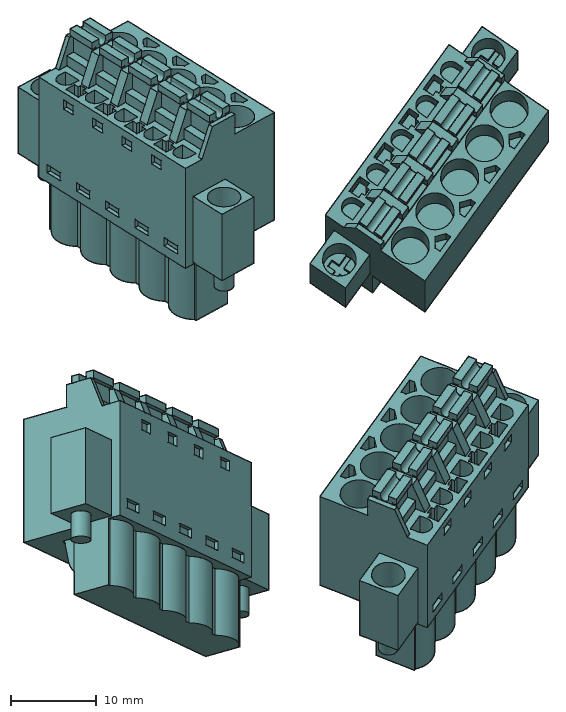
import cadquery as cq


pole_count = 5
overall_length = 34.8
housing_length = 25.0
housing_depth = 14.2
rear_height = 15.4
front_height = 14.35

tower_height = 18.25
tower_back = 7.9
tower_top_front = 4.3
tower_foot_front = 2.65

lever_width = 3.8
lever_top = 19.42
cap_bottom = 18.45
cap_back = 7.6
cap_front = 4.4
stem_back = 6.95
stem_front = 4.98
foot_front = 3.9
foot_height = 15.8
groove_width = 1.0
groove_depth = 1.08
groove_wall_depth = 0.5

wire_hole_diameter = 4.42
wire_hole_y = 10.35
wire_hole_depth = 5.22
slot_depth = 2.8
slot_width = 2.12
rear_slot_back = 13.57
rear_slot_shoulder = 12.9
rear_slot_tip = 12.08
test_hole_width = 2.33
test_hole_back = 2.95
test_hole_arc_y = 2.0
front_slot_front = 0.63
front_slot_back = 2.0
nub_width = 0.87
nub_back = 2.4

window_depth = 0.52
upper_window_width = 1.65
upper_window_bottom = 11.97
upper_window_top = 13.25
lower_window_width = 2.23
lower_window_bottom = 1.35
lower_window_top = 2.5

plug_length = 8.3
plug_back = 6.75
plug_front = 1.7
lobe_width = 4.45
lobe_bulge = 0.97

latch_width = 19.98

flange_front = 1.25
flange_back = 6.35
flange_bottom = 0.2
flange_top = 9.7
head_diameter = 3.9
head_top = 4.87
head_height = 2.1
shaft_diameter = 2.33
shaft_bottom = -2.95
screw_from_end = 2.35
driver_slot_width = 0.65
cross_slot_width = 0.87
cross_slot_length = 2.7
driver_slot_depth = 0.7

pitch = housing_length / pole_count
half_length = housing_length / 2
pole_xs = [(i - (pole_count - 1) / 2) * pitch for i in range(pole_count)]
between_xs = [x + pitch / 2 for x in pole_xs[:-1]]
flange_length = (overall_length - housing_length) / 2
flange_xs = [side * (half_length + flange_length / 2) for side in (-1, 1)]
screw_xs = [side * (overall_length / 2 - screw_from_end) for side in (-1, 1)]
screw_y = (flange_front + flange_back) / 2
head_bottom = head_top - head_height


def box(center_x, width, y_min, y_max, z_min, z_max):
    """Box centred on center_x in X and spanning the given Y and Z ranges."""
    solid = cq.Workplane("XY").box(width, y_max - y_min, z_max - z_min, centered=(True, False, False))
    return solid.translate((center_x, y_min, z_min))


def cylinder(center_x, center_y, diameter, z_min, z_max):
    """Upright cylinder."""
    plane = cq.Workplane("XY", origin=(center_x, center_y, z_min))
    return plane.circle(diameter / 2).extrude(z_max - z_min)


def side_profile(center_x, width):
    """Workplane whose local axes are Y and Z, at the -X end of an extrusion of this width."""
    return cq.Workplane("YZ", origin=(center_x - width / 2, 0, 0))


def housing_body():
    outline = [
        (0, 0),
        (housing_depth, 0),
        (housing_depth, rear_height),
        (tower_back, rear_height),
        (tower_back, tower_height),
        (tower_top_front, tower_height),
        (tower_foot_front, front_height),
        (0, front_height),
    ]
    return side_profile(0, housing_length).polyline(outline).close().extrude(housing_length)


def plug():
    """Bar below the housing with one shallow cylindrical lobe per pole on its front."""
    solid = box(0, housing_length, plug_front, plug_back, -plug_length, 0)
    for x in pole_xs:
        lobe = (
            cq.Workplane("XY", origin=(x, plug_front, -plug_length))
            .moveTo(-lobe_width / 2, 0)
            .threePointArc((0, -lobe_bulge), (lobe_width / 2, 0))
            .close()
            .extrude(plug_length)
        )
        solid = solid.union(lobe)
    return solid


def latch():
    """Curved hook hanging from the underside, its tip bent forward."""
    return (
        side_profile(0, latch_width)
        .moveTo(10.37, 0)
        .lineTo(10.05, -0.35)
        .lineTo(9.45, -2.95)
        .threePointArc((9.22, -3.55), (8.65, -4.2))
        .threePointArc((8.15, -4.07), (8.0, -3.27))
        .threePointArc((8.4, -2.9), (8.53, -2.4))
        .lineTo(8.53, -1.15)
        .lineTo(8.07, 0)
        .close()
        .extrude(latch_width)
    )


def lever_slot(x):
    """Space between two ribs of the tower, as deep in Y as the tower and open to the top."""
    return box(x, lever_width, 0, tower_back, front_height, lever_top)


def wire_hole(x):
    return cylinder(x, wire_hole_y, wire_hole_diameter, rear_height - wire_hole_depth, rear_height)


def test_hole(x):
    """D-shaped hole, flat at the back and round at the front."""
    radius = test_hole_width / 2
    return (
        cq.Workplane("XY", origin=(x, test_hole_arc_y, front_height - slot_depth))
        .moveTo(-radius, 0)
        .threePointArc((0, -radius), (radius, 0))
        .lineTo(radius, test_hole_back - test_hole_arc_y)
        .lineTo(-radius, test_hole_back - test_hole_arc_y)
        .close()
        .extrude(slot_depth)
    )


def rear_slot(x):
    """Five-sided slot that points to the front."""
    outline = [
        (-slot_width / 2, rear_slot_back),
        (slot_width / 2, rear_slot_back),
        (slot_width / 2, rear_slot_shoulder),
        (0, rear_slot_tip),
        (-slot_width / 2, rear_slot_shoulder),
    ]
    plane = cq.Workplane("XY", origin=(x, 0, rear_height - slot_depth))
    return plane.polyline(outline).close().extrude(slot_depth)


def front_slot(x):
    """Rectangular slot with a narrow nub at its back."""
    bottom = front_height - slot_depth
    main = box(x, slot_width, front_slot_front, front_slot_back, bottom, front_height)
    return main.union(box(x, nub_width, front_slot_back, nub_back, bottom, front_height))


def upper_window(x):
    return box(x, upper_window_width, 0, window_depth, upper_window_bottom, upper_window_top)


def lower_window(x):
    return box(x, lower_window_width, 0, window_depth, lower_window_bottom, lower_window_top)


def make_housing():
    solid = housing_body().union(plug()).union(latch())
    for x in flange_xs:
        solid = solid.union(box(x, flange_length, flange_front, flange_back, flange_bottom, flange_top))
    for x in screw_xs:
        solid = solid.cut(cylinder(x, screw_y, head_diameter, head_bottom, flange_top))
        solid = solid.cut(cylinder(x, screw_y, shaft_diameter, flange_bottom, head_bottom))
    for x in pole_xs:
        for opening in (lever_slot, wire_hole, test_hole, lower_window):
            solid = solid.cut(opening(x))
    for x in between_xs:
        for opening in (rear_slot, front_slot, upper_window):
            solid = solid.cut(opening(x))
    return solid


def make_lever(x):
    """Push lever: a wide foot and a narrow stem under a wider cap with a round-bottomed groove."""
    half_groove = groove_width / 2
    groove_y = (cap_front + cap_back) / 2
    groove_arc_z = lever_top - groove_wall_depth
    return (
        side_profile(x, lever_width)
        .moveTo(foot_front, front_height)
        .lineTo(tower_back, front_height)
        .lineTo(tower_back, foot_height)
        .lineTo(stem_back, foot_height)
        .lineTo(stem_back, cap_bottom)
        .lineTo(cap_back, cap_bottom)
        .lineTo(cap_back, lever_top)
        .lineTo(groove_y + half_groove, lever_top)
        .lineTo(groove_y + half_groove, groove_arc_z)
        .threePointArc((groove_y, lever_top - groove_depth), (groove_y - half_groove, groove_arc_z))
        .lineTo(groove_y - half_groove, lever_top)
        .lineTo(cap_front, lever_top)
        .lineTo(cap_front, cap_bottom)
        .lineTo(stem_front, cap_bottom)
        .lineTo(stem_front, foot_height)
        .lineTo(foot_front, foot_height)
        .close()
        .extrude(lever_width)
    )


def make_screw(x):
    """Flange screw with a straight slot across its head and a shorter, wider slot crossing it."""
    half_slot = driver_slot_width / 2
    half_cross = cross_slot_length / 2
    slot_bottom = head_top - driver_slot_depth
    head = cylinder(x, screw_y, head_diameter, head_bottom, head_top)
    shaft = cylinder(x, screw_y, shaft_diameter, shaft_bottom, head_bottom)
    slot = box(x, head_diameter, screw_y - half_slot, screw_y + half_slot, slot_bottom, head_top)
    cross = box(x, cross_slot_width, screw_y - half_cross, screw_y + half_cross, slot_bottom, head_top)
    return head.union(shaft).cut(slot).cut(cross)


housing = make_housing()
levers = [make_lever(x) for x in pole_xs]
screws = [make_screw(x) for x in screw_xs]

result = cq.Compound.makeCompound([body.val() for body in [housing, *levers, *screws]])